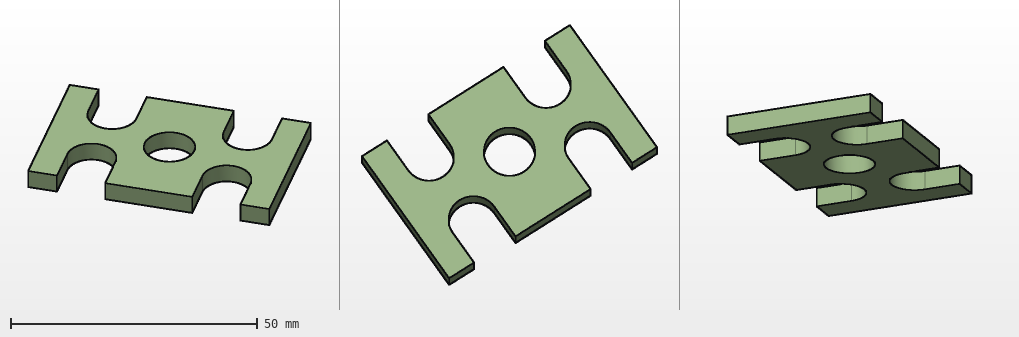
import cadquery as cq

length = 50.8
width = 31.75
thickness = 4.0

bore_diameter = 10.41

slot_width = 10.12
slot_spacing = 28.48
slot_depth_left = 13.0
slot_depth_right = 12.82


def open_slot(x, side, depth):
    """Return a slot cutter centred on x, entering from the +Y (side=1) or -Y (side=-1) edge."""
    radius = slot_width / 2
    edge_y = side * width / 2
    centre_y = side * (width / 2 - depth + radius)
    tip_y = centre_y - side * radius
    return (
        cq.Workplane("XY")
        .moveTo(x - radius, edge_y)
        .lineTo(x - radius, centre_y)
        .threePointArc((x, tip_y), (x + radius, centre_y))
        .lineTo(x + radius, edge_y)
        .close()
        .extrude(thickness)
    )


plate = cq.Workplane("XY").rect(length, width).extrude(thickness)
bore = cq.Workplane("XY").circle(bore_diameter / 2).extrude(thickness)

result = plate.cut(bore)
for side in (1, -1):
    result = result.cut(open_slot(-slot_spacing / 2, side, slot_depth_left))
    result = result.cut(open_slot(slot_spacing / 2, side, slot_depth_right))